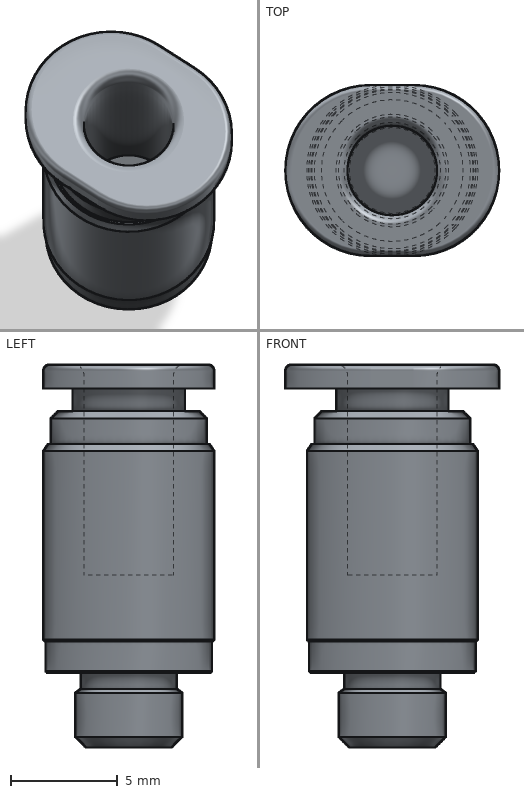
import cadquery as cq

total_height = 17.9
flange_bottom = 16.77
collar_top = 15.72
body_top = 14.2
ring_top = 4.95
ring_bottom = 3.49
thread_top = 2.74

body_radius = 4.0
collar_radius = 3.65
ring_radius = 3.9
upper_neck_radius = 2.63
lower_neck_radius = 2.25
thread_radius = 2.5
bore_radius = 2.1

flange_length = 10.0
flange_width = 2 * body_radius
flange_edge_round = 0.3

collar_chamfer = 0.34
body_chamfer_height = 0.34
body_chamfer_width = 0.23
ring_chamfer = 0.09
thread_tip_chamfer = 0.5
thread_top_chamfer = thread_radius - lower_neck_radius
thread_top_chamfer_height = 0.18

bore_depth = 9.85
bore_mouth_round = 0.5


def cylinder(radius, bottom, top):
    return cq.Workplane("XY").workplane(offset=bottom).circle(radius).extrude(top - bottom)


def make_flange():
    flange = (
        cq.Workplane("XY")
        .workplane(offset=flange_bottom)
        .slot2D(flange_length, flange_width)
        .extrude(total_height - flange_bottom)
    )
    return flange.faces(">Z").edges().fillet(flange_edge_round)


def make_thread():
    thread = cylinder(thread_radius, 0, thread_top)
    thread = thread.faces("<Z").chamfer(thread_tip_chamfer)
    return thread.faces(">Z").chamfer(thread_top_chamfer_height, thread_top_chamfer)


def make_barrel():
    """Stack the ring, body and collar between the two necks."""
    ring = cylinder(ring_radius, ring_bottom, ring_top).faces("<Z").chamfer(ring_chamfer)
    body = cylinder(body_radius, ring_top, body_top)
    body = body.faces("<Z").chamfer(ring_chamfer)
    body = body.faces(">Z").chamfer(body_chamfer_height, body_chamfer_width)
    collar = cylinder(collar_radius, body_top, collar_top).faces(">Z").chamfer(collar_chamfer)
    return ring.union(body).union(collar)


def cut_bore(part):
    part = part.cut(cylinder(bore_radius, total_height - bore_depth, total_height))
    smallest_circle = cq.selectors.RadiusNthSelector(0)
    return part.faces(">Z").edges("%CIRCLE").edges(smallest_circle).fillet(bore_mouth_round)


lower_neck = cylinder(lower_neck_radius, thread_top, ring_bottom)
upper_neck = cylinder(upper_neck_radius, collar_top, flange_bottom)

solid_fitting = (
    make_thread().union(lower_neck).union(make_barrel()).union(upper_neck).union(make_flange())
)
result = cut_bore(solid_fitting)